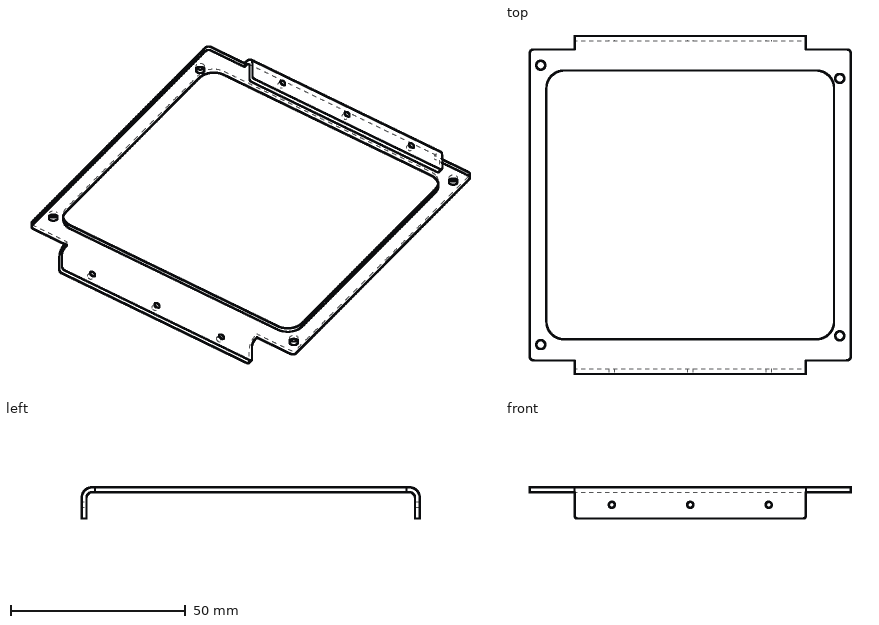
import cadquery as cq

plate_length = 92.0
plate_width = 89.1
overall_width = 96.8
overall_height = 9.0
thickness = 1.5
plate_corner_radius = 1.2

opening_length = 82.3
opening_width = 76.9
opening_corner_radius = 5.0

flange_length = 66.2
bend_inner_radius = 1.55
bend_outer_radius = bend_inner_radius + thickness
flange_corner_radius = 0.9

plate_hole_diameter = 2.5
plate_hole_x = 42.8
plate_hole_centers = [
    (-plate_hole_x, -40.0),
    (-plate_hole_x, 40.0),
    (plate_hole_x, -37.5),
    (plate_hole_x, 36.2),
]
flange_hole_diameter = 1.6
flange_hole_spacing = 22.5
flange_hole_depth = 5.0


def make_plate():
    """Flat rectangular plate with rounded corners."""
    plate = cq.Workplane("XY").box(plate_length, plate_width, thickness, centered=(True, True, False))
    plate = plate.translate((0, 0, -thickness))
    return plate.edges("|Z").fillet(plate_corner_radius)


def make_flange():
    """Flange on the +Y side: flat lead-in, quarter-round bend and vertical wall."""
    outer_y = overall_width / 2
    inner_y = outer_y - thickness
    bend_y = outer_y - bend_outer_radius
    root_y = opening_width / 2
    profile = (
        cq.Workplane("YZ")
        .moveTo(root_y, 0)
        .lineTo(bend_y, 0)
        .radiusArc((outer_y, -bend_outer_radius), bend_outer_radius)
        .lineTo(outer_y, -overall_height)
        .lineTo(inner_y, -overall_height)
        .lineTo(inner_y, -bend_outer_radius)
        .radiusArc((bend_y, -thickness), -bend_inner_radius)
        .lineTo(root_y, -thickness)
        .close()
    )
    flange = profile.extrude(flange_length / 2, both=True)
    flange = flange.faces("<Z").edges("|Y").fillet(flange_corner_radius)

    hole_centers = [(i * flange_hole_spacing, -flange_hole_depth) for i in (-1, 0, 1)]
    holes = (
        cq.Workplane("XZ", origin=(0, outer_y, 0))
        .pushPoints(hole_centers)
        .circle(flange_hole_diameter / 2)
        .extrude(thickness)
    )
    return flange.cut(holes)


def make_opening():
    """Rounded rectangular cutter for the central opening."""
    opening = cq.Workplane("XY").rect(opening_length, opening_width).extrude(-thickness)
    return opening.edges("|Z").fillet(opening_corner_radius)


def make_plate_holes():
    """Cutters for the four mounting holes in the plate."""
    holes = cq.Workplane("XY").pushPoints(plate_hole_centers)
    return holes.circle(plate_hole_diameter / 2).extrude(-thickness)


flange = make_flange()
result = make_plate().union(flange).union(flange.mirror("XZ"))
result = result.cut(make_opening()).cut(make_plate_holes())